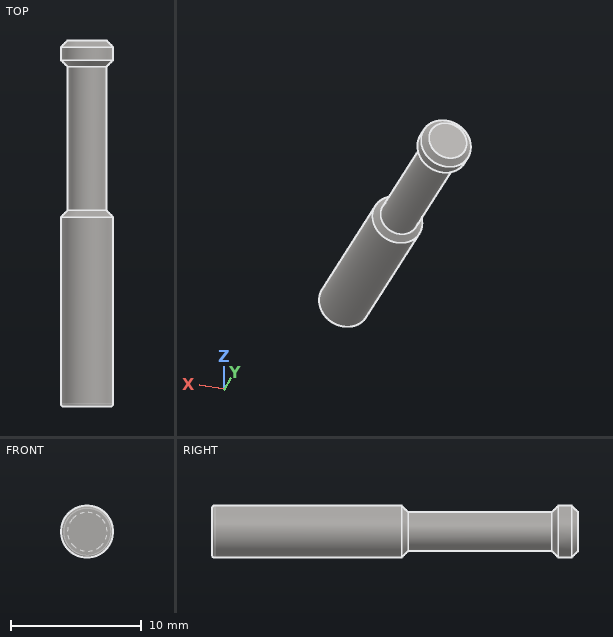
import cadquery as cq

total_length = 28.0
shank_length = 15.0
head_length = 2.0
body_radius = 2.0
neck_radius = 1.5
tip_fillet = 0.2
step_chamfer = body_radius - neck_radius

head_start = total_length - head_length


def turned_blank():
    """Revolve the half profile, drawn on the -X side, a full turn about Y."""
    half_profile = [
        (0, 0),
        (-body_radius, 0),
        (-body_radius, shank_length - step_chamfer),
        (-neck_radius, shank_length),
        (-neck_radius, head_start),
        (-body_radius, head_start + step_chamfer),
        (-body_radius, total_length - step_chamfer),
        (-body_radius + step_chamfer, total_length),
        (0, total_length),
    ]
    return cq.Workplane("XY").polyline(half_profile).close().revolve(360, (0, 0, 0), (0, 1, 0))


def round_shank_end(pin):
    """Fillet the rim of the shank's flat end."""
    return pin.faces("<Y").edges().fillet(tip_fillet)


result = round_shank_end(turned_blank())